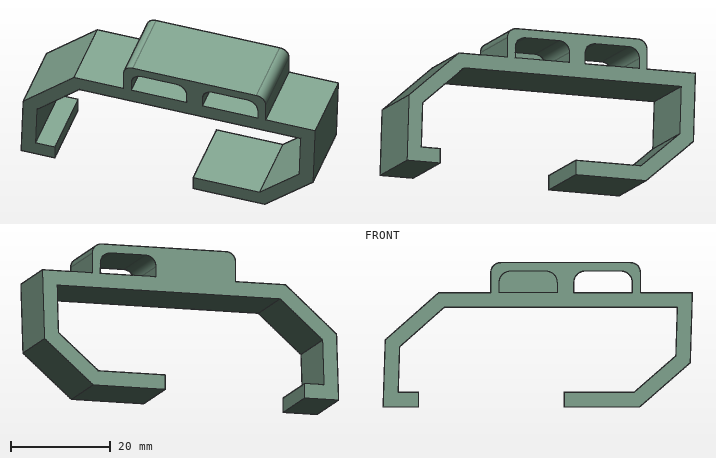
import cadquery as cq

length = 62.1
depth = 15.0
wall = 3.0
band_height = 23.0

leg_lean = 0.45
left_knee_z = 13.5
left_shoulder_x = 11.2
right_knee_z = 8.9
right_foot_x = 51.45

gap_start_x = 7.15
gap_end_x = 36.3

housing_start_x = 21.6
housing_width = 30.05
housing_height = 6.0
housing_radius = 2.0

window_width = 11.7
window_height = 4.3
window_radius = 2.25
window_side_wall = 1.7
back_wall = window_side_wall


def extrude_back(profile, distance):
    """Extrude an XZ profile in the +Y direction."""
    return profile.extrude(-distance)


def band_outline():
    return cq.Workplane("XZ").polyline([
        (0, 0),
        (leg_lean, left_knee_z),
        (left_shoulder_x, band_height),
        (length, band_height),
        (length - leg_lean, right_knee_z),
        (right_foot_x, 0),
    ]).close()


def make_band():
    outer = extrude_back(band_outline(), depth)
    inner = extrude_back(band_outline().offset2D(-wall, "intersection"), depth)
    gap = cq.Workplane("XY").box(
        gap_end_x - gap_start_x, depth, 2 * wall, centered=False
    ).translate((gap_start_x, 0, -wall / 2))
    return outer.cut(inner).cut(gap)


def round_topped_block(start_x, width, height, radius, block_depth):
    """Block standing on the band, with its two upper edges along Y rounded."""
    block = cq.Workplane("XY").box(width, block_depth, height, centered=False)
    block = block.edges("|Y and >Z").fillet(radius)
    return block.translate((start_x, 0, band_height))


def make_housing():
    return round_topped_block(
        housing_start_x, housing_width, housing_height, housing_radius, depth
    )


def make_window(start_x, window_depth):
    return round_topped_block(start_x, window_width, window_height, window_radius, window_depth)


left_window_x = housing_start_x + window_side_wall
right_window_x = housing_start_x + housing_width - window_side_wall - window_width

result = (
    make_band()
    .union(make_housing())
    .cut(make_window(left_window_x, depth - back_wall))
    .cut(make_window(right_window_x, depth))
)